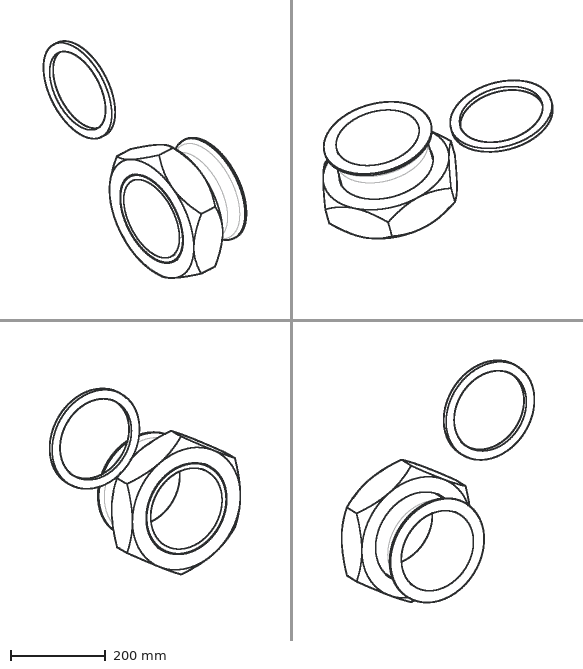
import cadquery as cq
import math


washer_diameter = 220.5
washer_thickness = 10.0
washer_offset_x = -232.0
washer_offset_z = 209.5

bore_diameter = 180.0
tube_diameter = 200.0
tube_front_y = 5.5
flare_start_y = 131.0
flare_arc_radius = 40.0
flare_angle = math.radians(40)
rim_diameter = 233.5
tube_rear_y = 170.2

across_flats = 272.0
nut_thickness = 81.0
nut_front_y = tube_front_y
nut_clearance = 2.0
nut_bore_diameter = tube_diameter + 2 * nut_clearance
across_corners = across_flats / math.cos(math.radians(30))
nut_chamfer = (across_corners - across_flats) / 2


def disc(diameter, start_y, length):
    """Solid cylinder on the Y axis, growing toward +Y from start_y."""
    return cq.Workplane("XZ", origin=(0, start_y, 0)).circle(diameter / 2).extrude(-length)


def make_washer():
    ring = disc(washer_diameter, 0, washer_thickness)
    ring = ring.cut(disc(bore_diameter, 0, washer_thickness))
    return ring.translate((washer_offset_x, 0, washer_offset_z))


def make_nut():
    prism = (
        cq.Workplane("XZ", origin=(0, nut_front_y, 0))
        .transformed(rotate=(0, 0, 90))
        .polygon(6, across_corners)
        .extrude(-nut_thickness)
    )
    envelope = disc(across_corners, nut_front_y, nut_thickness).edges("%CIRCLE").chamfer(nut_chamfer)
    return prism.intersect(envelope).cut(disc(nut_bore_diameter, nut_front_y, nut_thickness))


def make_tube():
    bore_radius = bore_diameter / 2
    tube_radius = tube_diameter / 2
    rim_radius = rim_diameter / 2

    def arc_point(angle):
        """Point on the flare arc after it has turned by angle from the axial direction."""
        radius = tube_radius + flare_arc_radius * (1 - math.cos(angle))
        return (radius, flare_start_y + flare_arc_radius * math.sin(angle))

    arc_end = arc_point(flare_angle)
    cone_end_y = arc_end[1] + (rim_radius - arc_end[0]) / math.tan(flare_angle)
    return (
        cq.Workplane("XY")
        .moveTo(bore_radius, tube_front_y)
        .lineTo(tube_radius, tube_front_y)
        .lineTo(tube_radius, flare_start_y)
        .threePointArc(arc_point(flare_angle / 2), arc_end)
        .lineTo(rim_radius, cone_end_y)
        .lineTo(rim_radius, tube_rear_y)
        .lineTo(bore_radius, tube_rear_y)
        .close()
        .revolve(360, (0, 0, 0), (0, 1, 0))
    )


washer = make_washer()
nut = make_nut()
tube = make_tube()

result = cq.Compound.makeCompound([washer.val(), nut.val(), tube.val()])